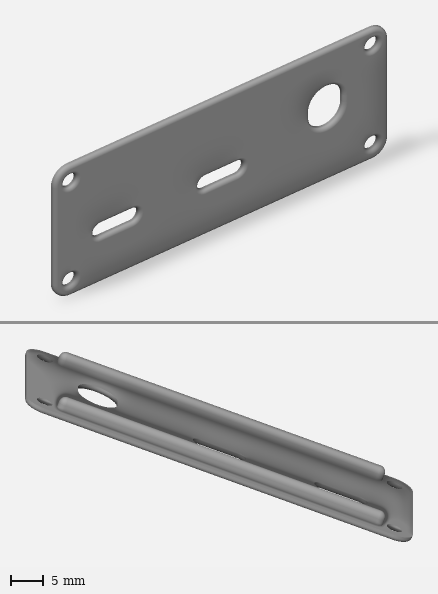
import cadquery as cq

plate_length = 63.0
plate_height = 25.0
plate_thickness = 1.0
corner_radius = 3.0
edge_round = 0.6

rib_length = 53.05
rib_width = 2.0
rib_rise = 2.0
rib_offset = 9.9
rib_radius = rib_width / 2

screw_diameter = 2.5
screw_spacing_y = 57.0
screw_spacing_z = 19.0

opening_width = 6.5
opening_height = 7.8
opening_y = 19.85
opening_z = 1.5

slot_length = 8.7
slot_width = 2.7
slot_positions_y = (0, -19.8)
slot_z = -2.6


def make_openings():
    """Cutters for the screw holes, the tall opening and the slots."""
    face = cq.Workplane("YZ")
    screws = face.rect(screw_spacing_y, screw_spacing_z, forConstruction=True).vertices()
    cutters = screws.circle(screw_diameter / 2).extrude(plate_thickness)
    opening = face.center(opening_y, opening_z).slot2D(opening_height, opening_width, 90)
    cutters = cutters.add(opening.extrude(plate_thickness))
    slots = face.pushPoints([(y, slot_z) for y in slot_positions_y])
    return cutters.add(slots.slot2D(slot_length, slot_width).extrude(plate_thickness)).combine()


def make_plate():
    """Pierced plate from x = 0 to its thickness, with every edge of its +X face rounded."""
    plate = cq.Workplane("YZ").rect(plate_length, plate_height).extrude(plate_thickness)
    plate = plate.edges("|X").fillet(corner_radius)
    plate = plate.cut(make_openings())
    return plate.faces(">X").edges().fillet(edge_round)


def make_rib(z):
    """Straight domed bar closed at both ends by a hemisphere-tipped post."""
    crest_x = rib_radius - rib_rise
    straight_length = rib_length - rib_width
    bar = (
        cq.Workplane("XZ", origin=(0, straight_length / 2, z))
        .moveTo(0, -rib_radius)
        .lineTo(crest_x, -rib_radius)
        .threePointArc((-rib_rise, 0), (crest_x, rib_radius))
        .lineTo(0, rib_radius)
        .close()
        .extrude(straight_length)
    )
    post = (
        cq.Workplane("XZ", origin=(0, 0, z))
        .lineTo(0, rib_radius)
        .lineTo(crest_x, rib_radius)
        .radiusArc((-rib_rise, 0), -rib_radius)
        .close()
        .revolve(360, (0, 0), (1, 0))
    )
    for end_y in (-straight_length / 2, straight_length / 2):
        bar = bar.union(post.translate((0, end_y, 0)))
    return bar


result = make_plate()
for rib_z in (-rib_offset, rib_offset):
    result = result.union(make_rib(rib_z))